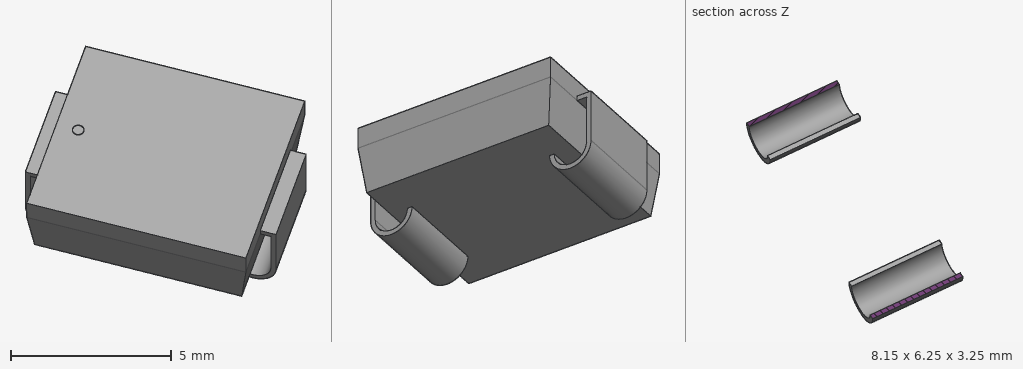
import cadquery as cq

span_x = 8.15
body_length = 7.12
body_width = 6.25

body_bottom = 0.82
parting_height = 2.47
body_top = 3.23
marker_top = 3.25
draft_inset = 0.195

lead_width = 3.2
lead_thickness = 0.17
lead_top = 2.64
bend_radius = 0.77

marker_diameter = 0.36
marker_from_edge = 0.72


def make_housing():
    """Straight upper block on a lower block that tapers inward to its base."""
    upper = (
        cq.Workplane("XY", origin=(0, 0, parting_height))
        .rect(body_length, body_width)
        .extrude(body_top - parting_height)
    )
    lower = (
        cq.Workplane("XY", origin=(0, 0, body_bottom))
        .rect(body_length - 2 * draft_inset, body_width - 2 * draft_inset)
        .workplane(offset=parting_height - body_bottom)
        .rect(body_length, body_width)
        .loft(ruled=True)
    )
    return upper.union(lower)


def make_lead(side):
    """J-shaped strip on one end of the housing; side is -1 or +1 along X."""
    outer_x = span_x / 2
    inner_x = outer_x - lead_thickness
    bend_x = outer_x - bend_radius
    inner_radius = bend_radius - lead_thickness
    bend_z = bend_radius
    housing_x = body_length / 2
    profile = (
        cq.Workplane("XZ")
        .moveTo(side * housing_x, lead_top)
        .lineTo(side * outer_x, lead_top)
        .lineTo(side * outer_x, bend_z)
        .threePointArc((side * bend_x, bend_z - bend_radius), (side * (bend_x - bend_radius), bend_z))
        .lineTo(side * (bend_x - inner_radius), bend_z)
        .threePointArc((side * bend_x, bend_z - inner_radius), (side * inner_x, bend_z))
        .lineTo(side * inner_x, lead_top - lead_thickness)
        .lineTo(side * housing_x, lead_top - lead_thickness)
        .close()
    )
    return profile.extrude(lead_width / 2, both=True)


def make_marker():
    """Thin disc standing on the top face near the -X end."""
    return (
        cq.Workplane("XY", origin=(marker_from_edge - body_length / 2, 0, body_top))
        .circle(marker_diameter / 2)
        .extrude(marker_top - body_top)
    )


housing = make_housing()
leads = [make_lead(side) for side in (-1, 1)]
marker = make_marker()

result = cq.Compound.makeCompound([housing.val(), *[lead.val() for lead in leads], marker.val()])